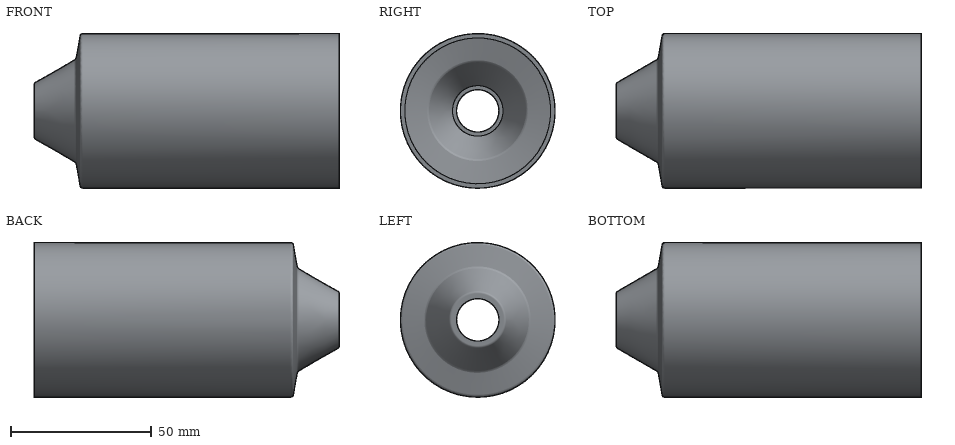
import cadquery as cq
import math

LENGTH = 108.82
OUTER_DIAMETER = 55.2
BORE_DIAMETER = 52.0
TIP_HOLE_DIAMETER = 15.0
TIP_OUTER_DIAMETER = 19.85
NOZZLE_LENGTH = 14.9
NOZZLE_ANGLE = math.radians(30)
SHOULDER_ANGLE = math.radians(10)
EDGE_ROUND = 1.0
INNER_VALLEY_ROUND = 1.0

OUTER_RADIUS = OUTER_DIAMETER / 2
BORE_RADIUS = BORE_DIAMETER / 2
TIP_HOLE_RADIUS = TIP_HOLE_DIAMETER / 2
TIP_OUTER_RADIUS = TIP_OUTER_DIAMETER / 2
WALL = OUTER_RADIUS - BORE_RADIUS
NOZZLE_SLOPE = math.tan(NOZZLE_ANGLE)
SHOULDER_SLOPE = math.tan(SHOULDER_ANGLE)

outer_tip = (0, TIP_OUTER_RADIUS)
outer_valley = (NOZZLE_LENGTH, TIP_OUTER_RADIUS + NOZZLE_LENGTH * NOZZLE_SLOPE)
outer_rim = (NOZZLE_LENGTH + (OUTER_RADIUS - outer_valley[1]) * SHOULDER_SLOPE, OUTER_RADIUS)

tip_wall_radius = TIP_OUTER_RADIUS - WALL / math.cos(NOZZLE_ANGLE)
inner_tip = (WALL, tip_wall_radius + WALL * NOZZLE_SLOPE)
inner_rim_x = outer_rim[0] - WALL * SHOULDER_SLOPE + WALL / math.cos(SHOULDER_ANGLE)
inner_rim = (inner_rim_x, BORE_RADIUS)

shoulder_x_at_tip_radius = inner_rim[0] - (inner_rim[1] - inner_tip[1]) * SHOULDER_SLOPE
inner_cone_length = (shoulder_x_at_tip_radius - inner_tip[0]) / (1 - NOZZLE_SLOPE * SHOULDER_SLOPE)
inner_valley = (inner_tip[0] + inner_cone_length, inner_tip[1] + inner_cone_length * NOZZLE_SLOPE)


def revolved(corners):
    """Solid of revolution about X under the profile through the corners, up to the open end."""
    end_radius = corners[-1][1]
    start_x = corners[0][0]
    points = [(start_x, 0)] + corners + [(LENGTH, end_radius), (LENGTH, 0)]
    return cq.Workplane("XY").polyline(points).close().revolve(360, (0, 0), (1, 0))


def outer_body():
    """Nozzle, shoulder and barrel as a solid with every outer corner but the open end rounded."""
    body = revolved([outer_tip, outer_valley, outer_rim])
    corner_edges = body.edges("%CIRCLE").edges("not >X")
    return corner_edges.fillet(EDGE_ROUND)


def cavity():
    """Inner cone, inner shoulder and bore, open at the barrel end."""
    body = revolved([inner_tip, inner_valley, inner_rim])
    valley_finder = cq.selectors.NearestToPointSelector((inner_valley[0], 0, 0))
    return body.edges("%CIRCLE").edges(valley_finder).fillet(INNER_VALLEY_ROUND)


def tip_hole():
    """Round hole through the tip wall."""
    hole_profile = cq.Workplane("XY").rect(WALL, TIP_HOLE_RADIUS, centered=False)
    return hole_profile.revolve(360, (0, 0), (1, 0))


result = outer_body().cut(cavity()).cut(tip_hole())